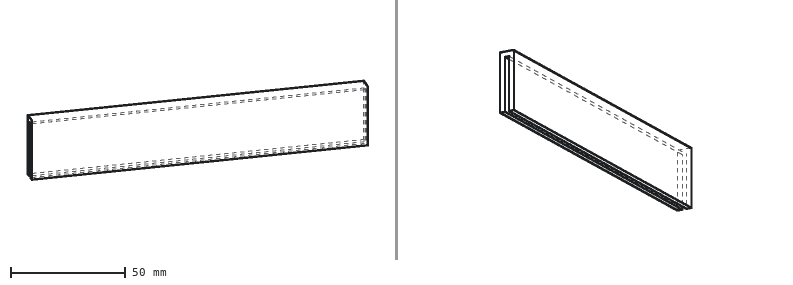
import cadquery as cq

WIDTH = 7.11
LENGTH = 152.4
HEIGHT = 27.94

WALL = 2.54
EDGE_RADIUS = 0.508

SLOT_WIDTH = WIDTH - 2 * WALL
SLOT_DEPTH = HEIGHT - WALL


def make_bar():
    """Solid bar along Y, standing on Z = 0, with its two long top edges rounded."""
    bar = cq.Workplane("XY").box(WIDTH, LENGTH, HEIGHT, centered=(True, True, False))
    return bar.faces(">Z").edges("|Y").fillet(EDGE_RADIUS)


def make_slot():
    """Full-length slot, open at the bottom and at both ends."""
    return cq.Workplane("XY").box(SLOT_WIDTH, LENGTH, SLOT_DEPTH, centered=(True, True, False))


result = make_bar().cut(make_slot())